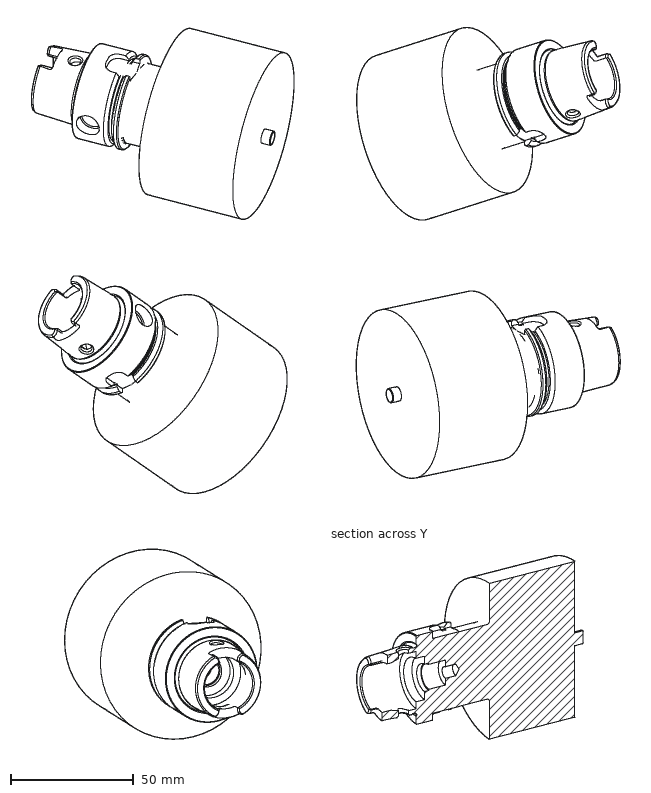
import cadquery as cq
import math


shank_length = 20
neck_start = 20
body_start = 35
body_end = 75.9
pin_end = 79.9
body_dia = 70.0
neck_dia = 33.7
neck_fillet = 1.0
pin_dia = 6
pin_chamfer = 0.3

taper_dia = 30.2
taper_small_dia = 28.5
taper_end_x = -2.1
relief_dia = 29.7
relief_x = -1.4
relief_fillet = 0.9
shank_chamfer_length = 1.0
shank_chamfer_depth = 0.5

flange_dia = 40
flange_front_chamfer = 0.3
flange_rear_chamfer = 0.5
groove_x = 16
groove_dia = 34.8
groove_step_dia = 34.7
groove_step_x = 16.3
groove_width = 1.6
groove_throat_dia = 36.9
groove_flank_angle = 42

face_recess_dia = 32.4
face_recess_depth = 0.3

bore_dia = 21
bore_lead_dia = 22.1
bore_land_end = -12
cavity_dia = 25.5
cavity_end = 0
cavity_cone_angle = 17
pocket_dia = 19.3
pocket_end = 4
thread_relief_dia = 12
thread_relief_end = 6
thread_dia = 11
thread_end = 14
drill_dia = 5
drill_tip_angle = 118

drive_slot_width = 8
drive_slot_lip_radius = 2.4
drive_slot_lip_height = 10.4
drive_slot_depths = {1: 6.2, -1: 3.7}
drive_slot_floor_fillet = 0.8

cross_hole_dia = 4.6
cross_hole_rim_dia = 6
cross_hole_x = -6

notch_start = 8
notch_corner_radius = 4
notch_floor = 16.9
notch_widths = {1: 11, -1: 9}
chip_hole_dia = 10
chip_hole_depth = 5.1
chip_hole_x = 7
chip_hole_floor_chamfer = 0.5


def revolve_about_x(outline):
    return outline.close().revolve(360, (0, 0, 0), (1, 0, 0))


def outer_body():
    flange_r = flange_dia / 2
    neck_r = neck_dia / 2
    relief_r = relief_dia / 2
    groove_r = groove_dia / 2
    throat_r = groove_throat_dia / 2
    floor_half = groove_width / 2
    mouth_half = floor_half + (flange_r - throat_r) * math.tan(math.radians(groove_flank_angle))
    outline = (
        cq.Workplane("XY")
        .moveTo(-shank_length, 0)
        .lineTo(-shank_length, taper_small_dia / 2 - shank_chamfer_depth)
        .lineTo(-shank_length + shank_chamfer_length, taper_small_dia / 2)
        .lineTo(taper_end_x, taper_dia / 2)
        .lineTo(relief_x, relief_r)
        .lineTo(face_recess_depth - relief_fillet, relief_r)
        .radiusArc((face_recess_depth, relief_r + relief_fillet), -relief_fillet)
        .lineTo(0, face_recess_dia / 2)
        .lineTo(0, flange_r - flange_front_chamfer)
        .lineTo(flange_front_chamfer, flange_r)
        .lineTo(groove_x - mouth_half, flange_r)
        .lineTo(groove_x - floor_half, throat_r)
        .lineTo(groove_x - floor_half, groove_step_dia / 2)
        .lineTo(groove_step_x, groove_step_dia / 2)
        .lineTo(groove_step_x, groove_r)
        .lineTo(groove_x + floor_half, groove_r)
        .lineTo(groove_x + floor_half, throat_r)
        .lineTo(groove_x + mouth_half, flange_r)
        .lineTo(neck_start - flange_rear_chamfer, flange_r)
        .lineTo(neck_start, flange_r - flange_rear_chamfer)
        .lineTo(neck_start, neck_r + neck_fillet)
        .radiusArc((neck_start + neck_fillet, neck_r), -neck_fillet)
        .lineTo(body_start - neck_fillet, neck_r)
        .radiusArc((body_start, neck_r + neck_fillet), -neck_fillet)
        .lineTo(body_start, body_dia / 2)
        .lineTo(body_end, body_dia / 2)
        .lineTo(body_end, pin_dia / 2)
        .lineTo(pin_end - pin_chamfer, pin_dia / 2)
        .lineTo(pin_end, pin_dia / 2 - pin_chamfer)
        .lineTo(pin_end, 0)
    )
    return revolve_about_x(outline)


def stepped_bore():
    bore_r = bore_dia / 2
    lead = (bore_lead_dia - bore_dia) / 2
    cavity_r = cavity_dia / 2
    cone_length = (cavity_r - bore_r) / math.tan(math.radians(cavity_cone_angle))
    drill_r = drill_dia / 2
    tip_length = drill_r / math.tan(math.radians(drill_tip_angle / 2))
    outline = (
        cq.Workplane("XY")
        .moveTo(-shank_length, 0)
        .lineTo(-shank_length, bore_r + lead)
        .lineTo(-shank_length + lead, bore_r)
        .lineTo(bore_land_end, bore_r)
        .lineTo(bore_land_end + cone_length, cavity_r)
        .lineTo(cavity_end, cavity_r)
        .lineTo(cavity_end, pocket_dia / 2)
        .lineTo(pocket_end, pocket_dia / 2)
        .lineTo(pocket_end, thread_relief_dia / 2)
        .lineTo(thread_relief_end, thread_relief_dia / 2)
        .lineTo(thread_relief_end, thread_dia / 2)
        .lineTo(thread_end, thread_dia / 2)
        .lineTo(thread_end, drill_r)
        .lineTo(thread_end + drill_dia, drill_r)
        .lineTo(thread_end + drill_dia + tip_length, 0)
    )
    return revolve_about_x(outline)


def drive_slot_outline(x):
    """Cross section at x: straight walls that round over outwards into the taper surface."""
    half = drive_slot_width / 2
    lip = drive_slot_lip_radius
    base = drive_slot_lip_height
    flare = half + lip
    edge = flare + lip
    top = base + 2 * lip
    return (
        cq.Workplane("YZ", origin=(x, 0, 0))
        .moveTo(-half, 0)
        .lineTo(-half, base)
        .radiusArc((-flare, base + lip), -lip)
        .lineTo(-edge, base + lip)
        .lineTo(-edge, top)
        .lineTo(edge, top)
        .lineTo(edge, base + lip)
        .lineTo(flare, base + lip)
        .radiusArc((half, base), -lip)
        .close()
    )


def cut_drive_slot(part, side, depth):
    slot = (
        drive_slot_outline(-shank_length)
        .extrude(depth)
        .faces(">X")
        .edges()
        .fillet(drive_slot_floor_fillet)
    )
    mouth_angle = math.degrees(math.atan2(shank_chamfer_depth, shank_chamfer_length))
    mouth_start = -shank_length + shank_chamfer_length
    mouth = drive_slot_outline(mouth_start).extrude(-shank_chamfer_length, taper=-mouth_angle)
    for tool in (slot, mouth):
        part = part.cut(tool if side > 0 else tool.mirror("XY"))
    return part


def flange_notch(side, width):
    end = neck_start + neck_fillet
    notch = (
        cq.Workplane("XY", origin=(0, 0, notch_floor))
        .moveTo((notch_start + end) / 2, 0)
        .rect(end - notch_start, width)
        .extrude(flange_dia / 2)
        .edges("|Z and <X")
        .fillet(notch_corner_radius)
    )
    return notch if side > 0 else notch.mirror("XY")


def cut_cross_hole(part):
    """Hole along Z, chamfered where it meets the taper on both sides."""
    surface = taper_dia / 2
    hole_r = cross_hole_dia / 2
    rim_chamfer = (cross_hole_rim_dia - cross_hole_dia) / 2
    hole = cq.Workplane("XY", origin=(cross_hole_x, 0, -surface)).circle(hole_r).extrude(2 * surface)
    part = part.cut(hole)
    for side in (1, -1):
        near_rim = cq.selectors.BoxSelector(
            (cross_hole_x - hole_r, -hole_r, side * (surface - hole_r)),
            (cross_hole_x + hole_r, hole_r, side * surface),
        )
        part = part.edges(near_rim).chamfer(rim_chamfer)
    return part


def chip_hole():
    return (
        cq.Workplane("XZ", origin=(chip_hole_x, -flange_dia / 2 + chip_hole_depth, 0))
        .circle(chip_hole_dia / 2)
        .extrude(chip_hole_depth)
        .faces(">Y")
        .chamfer(chip_hole_floor_chamfer)
    )


result = cut_cross_hole(outer_body())
for side, depth in drive_slot_depths.items():
    result = cut_drive_slot(result, side, depth)
result = result.cut(stepped_bore()).cut(chip_hole())
for side, width in notch_widths.items():
    result = result.cut(flange_notch(side, width))